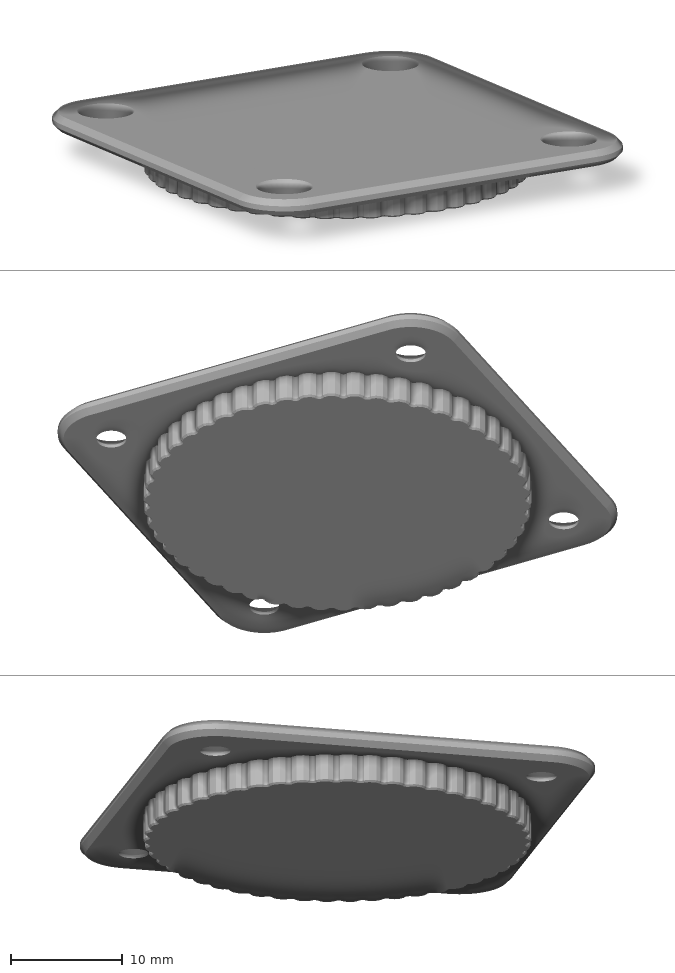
import cadquery as cq
import math

side = 39.6
plate_thickness = 1.5
corner_radius = 4.8
edge_chamfer = 0.5

hole_diameter = 2.7
countersink_diameter = 5.1
countersink_angle = 90.0
hole_pitch = side - 2 * corner_radius

overall_height = 4.0
disc_height = overall_height - plate_thickness
disc_diameter = 34.6
disc_chamfer = 0.15
groove_count = 50
groove_mouth_width = 1.5
groove_root_half_width = 0.3
groove_lip_depth = 0.2
groove_depth = 0.4


def make_plate():
    """Rounded square plate, chamfered on both faces, its underside at Z = 0."""
    plate = cq.Workplane("XY").box(side, side, plate_thickness, centered=(True, True, False))
    plate = plate.edges("|Z").fillet(corner_radius)
    plate = plate.faces("<Z or >Z").edges().chamfer(edge_chamfer)
    hole_grid = plate.faces(">Z").workplane().rarray(hole_pitch, hole_pitch, 2, 2)
    return hole_grid.cskHole(hole_diameter, countersink_diameter, countersink_angle)


def polar_point(radius, angle):
    """Point in the XY plane at a distance from the axis and an angle from X."""
    return (radius * math.cos(angle), radius * math.sin(angle))


def make_grooved_disc():
    """Solid disc with axial grooves: each has sloping lips and a round root."""
    rim_radius = disc_diameter / 2
    lip_radius = rim_radius - groove_lip_depth
    root_radius = rim_radius - groove_depth
    pitch_angle = 2 * math.pi / groove_count
    mouth_half_angle = math.asin(groove_mouth_width / 2 / rim_radius)
    lip_half_angle = math.asin(groove_root_half_width / lip_radius)

    outline = cq.Workplane("XY").moveTo(*polar_point(rim_radius, mouth_half_angle - pitch_angle / 2))
    for index in range(groove_count):
        land = index * pitch_angle
        groove = land + pitch_angle / 2
        outline = (
            outline
            .threePointArc(polar_point(rim_radius, land), polar_point(rim_radius, groove - mouth_half_angle))
            .lineTo(*polar_point(lip_radius, groove - lip_half_angle))
            .threePointArc(polar_point(root_radius, groove), polar_point(lip_radius, groove + lip_half_angle))
        )
        if index < groove_count - 1:
            outline = outline.lineTo(*polar_point(rim_radius, groove + mouth_half_angle))
    disc = outline.close().extrude(-disc_height)
    return disc.faces("<Z").chamfer(disc_chamfer)


result = make_plate().union(make_grooved_disc())